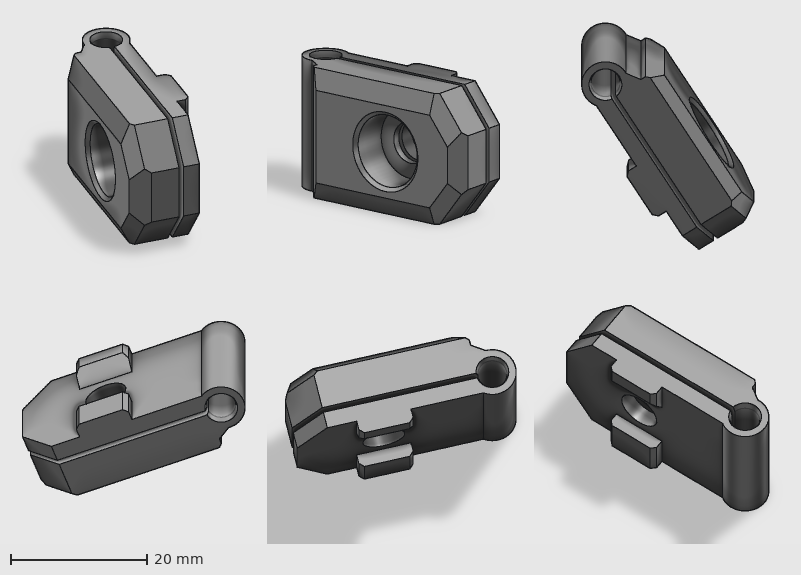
import cadquery as cq
import math

length = 33.65
height = 20.0
back_y = 10.5
half_height = height / 2

barrel_radius = 3.5
barrel_x = barrel_radius
barrel_y = 7.65
bore_diameter = 4.27
bore_mouth_widening = 0.27
bore_mouth_depth = 1.0
slot_width = 0.75

shoulder_x = 5.62
neck_y = 2.83
neck_start_offset = 0.17

shoulder_bevel = 2.02
steep_bevel = 2.93
shallow_bevel = 1.5
corner_bevel = 2.02

corner_length = 4.55
corner_height = 5.9

hole_x = 20.55
hole_diameter = 6.3
counterbore_diameter = 11.0
counterbore_depth = 6.05
counterbore_chamfer = 0.57

rib_width = 8.2
rib_top_y = 12.5
rib_chamfer = 0.67
rib_gap_half = 4.55
rib_gap_flare = 2.9


def along_z(sketch):
    """Extrude an XY outline over the full height."""
    return sketch.extrude(half_height, both=True)


def make_block():
    """Clamp block with the shoulder, end and long-edge bevels."""
    neck_start_y = barrel_y - math.sqrt(barrel_radius**2 - neck_start_offset**2)
    plan = (
        cq.Workplane("XY")
        .moveTo(barrel_x + neck_start_offset, neck_start_y)
        .lineTo(shoulder_x, neck_y)
        .lineTo(shoulder_x, shoulder_bevel)
        .lineTo(shoulder_x + shoulder_bevel, 0)
        .lineTo(length - shallow_bevel, 0)
        .lineTo(length, steep_bevel)
        .lineTo(length, back_y)
        .lineTo(barrel_x + neck_start_offset, back_y)
        .close()
    )
    side_outline = [
        (0, half_height - steep_bevel),
        (shallow_bevel, half_height),
        (back_y, half_height),
        (back_y, -half_height),
        (shallow_bevel, -half_height),
        (0, -half_height + steep_bevel),
    ]
    side = cq.Workplane("YZ").polyline(side_outline).close().extrude(length)
    return along_z(plan).intersect(side)


def make_corner_cutter():
    """Prism removing the upper end corner together with its 45 degree front bevel."""
    edge_length = math.hypot(corner_length, corner_height)
    outward = (corner_height / edge_length, 0, corner_length / edge_length)
    along_edge = (corner_length / edge_length, 0, -corner_height / edge_length)
    section_plane = cq.Plane(
        origin=(length - corner_length, 0, half_height), xDir=outward, normal=along_edge
    )
    section = [
        (-corner_bevel, 0),
        (0, -corner_bevel),
        (0, -back_y),
        (edge_length, -back_y),
        (edge_length, 0),
    ]
    return cq.Workplane(section_plane).polyline(section).close().extrude(2 * edge_length, both=True)


def make_rib():
    """Chamfered back rib with a gap that has one straight and one flared side."""
    rib = (
        cq.Workplane("XY")
        .box(rib_width, rib_top_y - barrel_y, height)
        .translate((hole_x, (rib_top_y + barrel_y) / 2, 0))
        .faces(">Y")
        .edges("|Z")
        .chamfer(rib_chamfer)
    )
    gap_outline = [
        (back_y, -rib_gap_half),
        (rib_top_y, -rib_gap_half),
        (rib_top_y, rib_gap_half + rib_gap_flare),
        (back_y, rib_gap_half),
    ]
    gap = cq.Workplane("YZ").polyline(gap_outline).close().extrude(length)
    return rib.cut(gap)


def make_bore():
    """Pin bore through the barrel, widened at both ends."""
    radius = bore_diameter / 2
    mouth_radius = radius + bore_mouth_widening
    straight = half_height - bore_mouth_depth
    profile = [
        (0, -half_height),
        (mouth_radius, -half_height),
        (radius, -straight),
        (radius, straight),
        (mouth_radius, half_height),
        (0, half_height),
    ]
    bore = cq.Workplane("XZ").polyline(profile).close().revolve(360, (0, 0), (0, 1))
    return bore.translate((barrel_x, barrel_y, 0))


def make_screw_hole():
    """Stepped screw hole with a chamfered mouth on the front face."""
    hole_radius = hole_diameter / 2
    counterbore_radius = counterbore_diameter / 2
    profile = [
        (0, 0),
        (counterbore_radius + counterbore_chamfer, 0),
        (counterbore_radius, counterbore_chamfer),
        (counterbore_radius, counterbore_depth),
        (hole_radius, counterbore_depth),
        (hole_radius, rib_top_y),
        (0, rib_top_y),
    ]
    hole = cq.Workplane("XY").polyline(profile).close().revolve(360, (0, 0), (0, 1))
    return hole.translate((hole_x, 0, 0))


barrel = along_z(cq.Workplane("XY").center(barrel_x, barrel_y).circle(barrel_radius))
upper_corner = make_corner_cutter()
slot = (
    cq.Workplane("XY")
    .box(length - barrel_x, slot_width, height)
    .translate(((length + barrel_x) / 2, barrel_y, 0))
)

block = make_block().cut(upper_corner).cut(upper_corner.mirror("XY"))
result = (
    block.union(barrel)
    .union(make_rib())
    .cut(make_bore())
    .cut(slot)
    .cut(make_screw_hole())
)